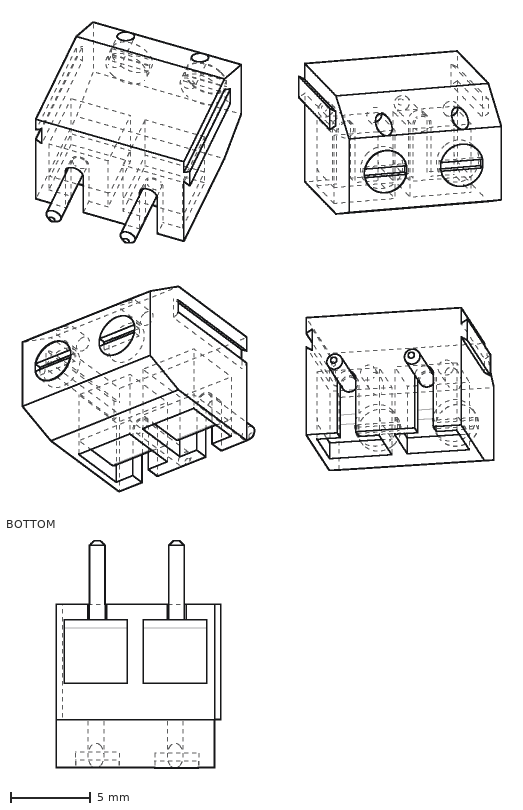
import cadquery as cq


housing_width = 10.0
housing_depth = 10.33
housing_height = 7.8
slope_start_y = 7.3
upper_slope_drop = 1.95
lower_slope_rise = 1.0
upper_slope_foot_z = housing_height - upper_slope_drop

pole_count = 2
pole_pitch = 5.0
first_pole_x = 2.6
pole_x = [first_pole_x + i * pole_pitch for i in range(pole_count)]
axis_z = 3.5

dovetail_depth = 0.4
dovetail_mouth = 0.9
dovetail_base = 1.4
dovetail_z = 6.3

test_hole_diameter = 1.0
test_hole_offset_x = -0.1
test_hole_z = upper_slope_foot_z + test_hole_diameter / 2
test_hole_bottom_y = slope_start_y

pin_diameter = 1.0
pin_length_outside = 4.0
pin_chamfer = 0.3

front_wall = 1.0
slot_width = 1.2
chamber_width = 4.0
chamber_depth = 4.0
chamber_height = 4.5
chamber_offset_x = -0.1

contact_bottom_z = 1.05
contact_bend_radius = 0.48

screw_diameter = 2.78
screw_thickness = 1.0
screw_slot_width = 0.57
screw_slot_depth = 0.5
screw_heights = [0.0, 0.05]


def box(width, depth, height, x, y, z):
    """A box centred on x, with its front at y and its bottom at z."""
    return cq.Workplane("XY").box(width, depth, height, centered=(True, False, False)).translate((x, y, z))


def cylinder_along_y(diameter, start_y, end_y, x, z):
    """A cylinder along Y between two Y positions."""
    disc = cq.Workplane("XZ", origin=(x, start_y, z)).circle(diameter / 2)
    return disc.extrude(start_y - end_y)


def make_dovetail(face_x):
    """A dovetail prism that widens from its mouth at face_x toward +X."""
    return (
        cq.Workplane("XZ")
        .moveTo(face_x, dovetail_z - dovetail_mouth / 2)
        .lineTo(face_x + dovetail_depth, dovetail_z - dovetail_base / 2)
        .lineTo(face_x + dovetail_depth, dovetail_z + dovetail_base / 2)
        .lineTo(face_x, dovetail_z + dovetail_mouth / 2)
        .close()
        .extrude(-slope_start_y)
    )


def make_housing():
    body = (
        cq.Workplane("YZ")
        .moveTo(0, 0)
        .lineTo(slope_start_y, 0)
        .lineTo(housing_depth, lower_slope_rise)
        .lineTo(housing_depth, upper_slope_foot_z)
        .lineTo(slope_start_y, housing_height)
        .lineTo(0, housing_height)
        .close()
        .extrude(housing_width)
    )
    body = body.cut(make_dovetail(0)).union(make_dovetail(housing_width))
    for x in pole_x:
        chamber_x = x + chamber_offset_x
        body = body.cut(box(chamber_width, chamber_depth, chamber_height, chamber_x, front_wall, 0))
        body = body.cut(box(slot_width, front_wall, axis_z, x, 0, 0))
        body = body.cut(cylinder_along_y(slot_width, 0, front_wall, x, axis_z))
        test_hole_x = x + test_hole_offset_x
        body = body.cut(
            cylinder_along_y(test_hole_diameter, test_hole_bottom_y, housing_depth, test_hole_x, test_hole_z)
        )
    for x, height in zip(pole_x, screw_heights):
        seat_y = housing_depth + height - screw_thickness
        body = body.cut(cylinder_along_y(screw_diameter, seat_y, housing_depth, x, axis_z))
    return body


def make_pin(x):
    """A round pin that ends against the contact, with a chamfered free end."""
    pin = cylinder_along_y(pin_diameter, -pin_length_outside, front_wall, x, axis_z)
    return pin.faces("<Y").chamfer(pin_chamfer)


def make_contact(x):
    """A contact block that fills the upper part of its chamber, rounded at its lower front edge."""
    height = chamber_height - contact_bottom_z
    block = box(chamber_width, chamber_depth, height, x + chamber_offset_x, front_wall, contact_bottom_z)
    return block.faces("<Y").edges("<Z").fillet(contact_bend_radius)


def make_screw(x, height):
    """A flat screw head with a driver slot along X."""
    top_y = housing_depth + height
    head = cylinder_along_y(screw_diameter, top_y - screw_thickness, top_y, x, axis_z)
    slot = box(
        screw_diameter,
        screw_slot_depth,
        screw_slot_width,
        x,
        top_y - screw_slot_depth,
        axis_z - screw_slot_width / 2,
    )
    return head.cut(slot)


housing = make_housing()
pins = [make_pin(x) for x in pole_x]
contacts = [make_contact(x) for x in pole_x]
screws = [make_screw(x, height) for x, height in zip(pole_x, screw_heights)]

bodies = [housing, *pins, *contacts, *screws]
result = cq.Compound.makeCompound([body.val() for body in bodies])